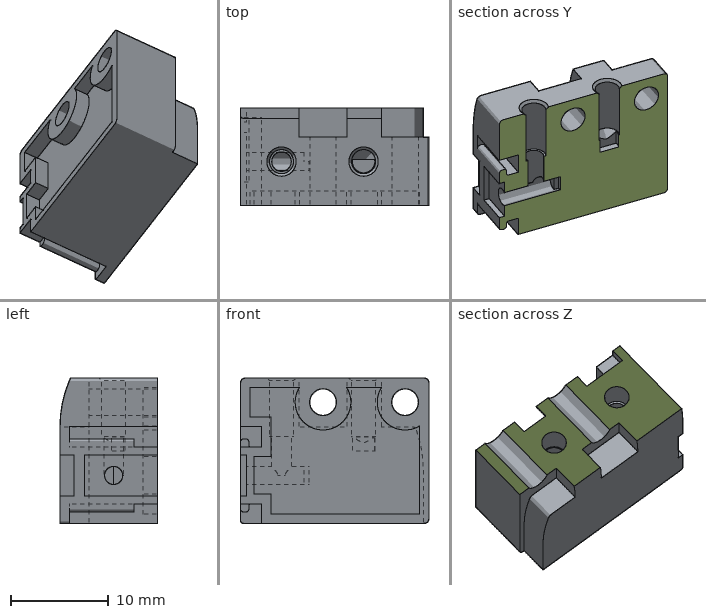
import cadquery as cq
import math

LENGTH = 19.3
DEPTH = 10.0
HEIGHT = 14.9
CORNER_RADIUS = 0.5
FOOT_RADIUS = 0.3

SWEEP_RADIUS = 12.0
SWEEP_HEIGHT = 5.0

CONNECTOR_Z = 4.92
SLOT_X = 2.17
SLOT_REAR_Y = 9.0
SLOT_OFFSET = 2.9
UPPER_SLOT_WIDTH = 2.1
RIDGE_WIDTH = 0.87
RIDGE_HEIGHT = 0.85
RIDGE_RADIUS = 0.35
RIDGE_BASE_RADIUS = 0.2
RIDGE_FRONT_Y = 2.4
RECESS_DEPTH = 0.6
RECESS_HEIGHT = 4.2
RECESS_FRONT_END_Y = 7.5
RECESS_REAR_START_Y = 8.54

WALL = 0.97
POCKET_DEPTH = 1.5
POCKET_STEP_X = 3.15
POCKET_STEP_Z = 10.92
POCKET_TONGUE_X = 1.37
POCKET_TONGUE_HEIGHT = 3.84

HOLE_PITCH = 8.4
MOUNT_X = 8.45
MOUNT_Z = 12.42
MOUNT_DIAMETER = 2.7
BOSS_DIAMETER = 5.7
SEAT_Y = 7.0
SEAT_HALF_WIDTH = 2.44
SEAT_Z = HEIGHT - SWEEP_HEIGHT
REAR_RIGHT_X = 18.71
SEAT_EDGE_RADIUS = 0.5
SEAT_EDGE_X = 18.0

PORT_Y = 4.5
PORT_X = 4.2
PORT_DIAMETER = 2.46
PORT_MOUTH_DIAMETER = 3.0
PORT_CHAMFER = (PORT_MOUTH_DIAMETER - PORT_DIAMETER) / 2
PORT_DEPTH = 6.0
CHANNEL_DIAMETER = 2.0
DRILL_POINT_ANGLE = 118.0
HALF_WELL_DIAMETER = 2.3
HALF_WELL_REAR_Y = 4.7
HALF_WELL_DEPTH = 1.5
SIDE_PORT_DIAMETER = 1.85
SIDE_PORT_END_X = 6.5
SIDE_PORT_STEP = 0.5


def box(x0, x1, y0, y1, z0, z1):
    size = (x1 - x0, y1 - y0, z1 - z0)
    return cq.Workplane("XY").box(*size, centered=False).translate((x0, y0, z0))


def cylinder(diameter, start, direction, length):
    return cq.Workplane(cq.Solid.makeCylinder(diameter / 2, length, cq.Vector(*start), cq.Vector(*direction)))


def along_y(outline, y0, y1):
    """Extrude a closed XZ outline from y0 to y1."""
    return outline.extrude(y0 - y1).translate((0, y0, 0))


def sweep_offset(drop):
    """Inset of the large rounding at a height above its tangent point."""
    return SWEEP_RADIUS - math.sqrt(SWEEP_RADIUS**2 - drop**2)


def make_body():
    body = box(0, LENGTH, 0, DEPTH, 0, HEIGHT)
    body = body.edges("|Y and >Z").fillet(CORNER_RADIUS)
    body = body.edges("|Y and <Z and >X").fillet(CORNER_RADIUS)
    body = body.edges("|Y and <Z and <X").fillet(FOOT_RADIUS)
    return body


def rear_sweep_cut():
    inset = sweep_offset(SWEEP_HEIGHT)
    mid_inset = sweep_offset(SWEEP_HEIGHT / 2)
    return (
        cq.Workplane("YZ")
        .moveTo(DEPTH, SEAT_Z)
        .threePointArc((DEPTH - mid_inset, SEAT_Z + SWEEP_HEIGHT / 2), (DEPTH - inset, HEIGHT))
        .lineTo(DEPTH, HEIGHT)
        .close()
        .extrude(LENGTH)
    )


def seat_cuts():
    """Screw head seats behind SEAT_Y, and the stepped-in rear right side."""
    left_seat = box(
        MOUNT_X - SEAT_HALF_WIDTH, MOUNT_X + SEAT_HALF_WIDTH,
        SEAT_Y, DEPTH, SEAT_Z, HEIGHT,
    )
    edge_inset = REAR_RIGHT_X - SEAT_EDGE_X
    edge_angle = math.acos(1 - edge_inset / SWEEP_RADIUS)
    mid_x = REAR_RIGHT_X - SWEEP_RADIUS * (1 - math.cos(edge_angle / 2))
    edge_z = SEAT_Z - SEAT_EDGE_RADIUS * (1 - math.sin(edge_angle))
    tangent_z = edge_z - SWEEP_RADIUS * math.sin(edge_angle)
    mid_z = tangent_z + SWEEP_RADIUS * math.sin(edge_angle / 2)
    round_start_x = SEAT_EDGE_X - SEAT_EDGE_RADIUS * math.cos(edge_angle)
    round_mid_angle = (edge_angle + math.pi / 2) / 2
    round_mid = (
        round_start_x + SEAT_EDGE_RADIUS * math.cos(round_mid_angle),
        SEAT_Z - SEAT_EDGE_RADIUS * (1 - math.sin(round_mid_angle)),
    )
    seat_left_x = MOUNT_X + HOLE_PITCH - SEAT_HALF_WIDTH
    outline = (
        cq.Workplane("XZ")
        .moveTo(seat_left_x, HEIGHT)
        .lineTo(seat_left_x, SEAT_Z)
        .lineTo(round_start_x, SEAT_Z)
        .threePointArc(round_mid, (SEAT_EDGE_X, edge_z))
        .threePointArc((mid_x, mid_z), (REAR_RIGHT_X, tangent_z))
        .lineTo(REAR_RIGHT_X, 0)
        .lineTo(LENGTH, 0)
        .lineTo(LENGTH, HEIGHT)
        .close()
    )
    return left_seat.union(along_y(outline, SEAT_Y, DEPTH))


def pocket_cut():
    tongue_low = CONNECTOR_Z - POCKET_TONGUE_HEIGHT / 2
    tongue_high = CONNECTOR_Z + POCKET_TONGUE_HEIGHT / 2
    right = LENGTH - WALL
    pocket = box(POCKET_STEP_X, right, 0, POCKET_DEPTH, WALL, HEIGHT - WALL)
    pocket = pocket.union(box(WALL, right, 0, POCKET_DEPTH, POCKET_STEP_Z, HEIGHT - WALL))
    pocket = pocket.union(box(POCKET_TONGUE_X, right, 0, POCKET_DEPTH, tongue_low, tongue_high))
    for x in (MOUNT_X, MOUNT_X + HOLE_PITCH):
        pocket = pocket.cut(cylinder(BOSS_DIAMETER, (x, 0, MOUNT_Z), (0, 1, 0), POCKET_DEPTH))
    return pocket


def mount_hole_cuts():
    left = cylinder(MOUNT_DIAMETER, (MOUNT_X, 0, MOUNT_Z), (0, 1, 0), DEPTH)
    return left.union(left.translate((HOLE_PITCH, 0, 0)))


def slot_cuts():
    upper_z = CONNECTOR_Z + SLOT_OFFSET
    upper = box(0, SLOT_X, 0, SLOT_REAR_Y, upper_z, upper_z + UPPER_SLOT_WIDTH)
    lower = box(0, SLOT_X, 0, SLOT_REAR_Y, 0, CONNECTOR_Z - SLOT_OFFSET)
    return upper.union(lower)


def ridges():
    """Rounded ridge on the upper slot floor and its mirror image below."""
    base_z = CONNECTOR_Z + SLOT_OFFSET
    ridge = box(0, RIDGE_WIDTH, RIDGE_FRONT_Y, SLOT_REAR_Y, base_z, base_z + RIDGE_HEIGHT)
    ridge = ridge.edges("|Y and >Z").fillet(RIDGE_RADIUS)
    root = RIDGE_WIDTH + RIDGE_BASE_RADIUS
    base = box(RIDGE_WIDTH, root, RIDGE_FRONT_Y, SLOT_REAR_Y, base_z, base_z + RIDGE_BASE_RADIUS)
    hollow_start = (root, RIDGE_FRONT_Y, base_z + RIDGE_BASE_RADIUS)
    base = base.cut(
        cylinder(2 * RIDGE_BASE_RADIUS, hollow_start, (0, 1, 0), SLOT_REAR_Y - RIDGE_FRONT_Y)
    )
    upper = ridge.union(base)
    return upper.union(upper.mirror("XY", (0, 0, CONNECTOR_Z)))


def recess_cuts():
    low = CONNECTOR_Z - RECESS_HEIGHT / 2
    high = CONNECTOR_Z + RECESS_HEIGHT / 2
    front = box(0, RECESS_DEPTH, 0, RECESS_FRONT_END_Y, low, high)
    return front.union(box(0, RECESS_DEPTH, RECESS_REAR_START_Y, DEPTH, low, high))


def port_bore(x):
    """Straight bore with a 45 degree mouth chamfer."""
    bore = cylinder(PORT_DIAMETER, (x, PORT_Y, HEIGHT), (0, 0, -1), PORT_DEPTH)
    mouth = cq.Solid.makeCone(
        PORT_MOUTH_DIAMETER / 2, PORT_DIAMETER / 2, PORT_CHAMFER,
        cq.Vector(x, PORT_Y, HEIGHT), cq.Vector(0, 0, -1),
    )
    return bore.union(cq.Workplane(mouth))


def left_port_cut():
    channel_length = HEIGHT - CONNECTOR_Z
    channel = cylinder(CHANNEL_DIAMETER, (PORT_X, PORT_Y, HEIGHT), (0, 0, -1), channel_length)
    return port_bore(PORT_X).union(channel)


def right_port_cut():
    """Bore with a conical end; its front half drops into a flat well."""
    x = PORT_X + HOLE_PITCH
    end_z = HEIGHT - PORT_DEPTH
    radius = PORT_DIAMETER / 2
    tip_length = radius / math.tan(math.radians(DRILL_POINT_ANGLE / 2))
    tip = cq.Solid.makeCone(radius, 0, tip_length, cq.Vector(x, PORT_Y, end_z), cq.Vector(0, 0, -1))
    well = cylinder(HALF_WELL_DIAMETER, (x, PORT_Y, end_z), (0, 0, -1), HALF_WELL_DEPTH)
    front_half = box(
        x - radius, x + radius, PORT_Y - radius, HALF_WELL_REAR_Y,
        end_z - HALF_WELL_DEPTH, end_z,
    )
    return port_bore(x).union(cq.Workplane(tip)).union(well.intersect(front_half))


def side_port_cut():
    """Blind bore whose flat end is stepped along its vertical diameter."""
    radius = SIDE_PORT_DIAMETER / 2
    deep_x = SIDE_PORT_END_X + SIDE_PORT_STEP
    bore = cylinder(SIDE_PORT_DIAMETER, (0, PORT_Y, CONNECTOR_Z), (1, 0, 0), deep_x)
    rear_half_end = box(
        SIDE_PORT_END_X, deep_x, PORT_Y, PORT_Y + radius,
        CONNECTOR_Z - radius, CONNECTOR_Z + radius,
    )
    return bore.cut(rear_half_end)


result = (
    make_body()
    .cut(rear_sweep_cut())
    .cut(seat_cuts())
    .cut(pocket_cut())
    .cut(mount_hole_cuts())
    .cut(slot_cuts())
    .union(ridges())
    .cut(recess_cuts())
    .cut(left_port_cut())
    .cut(right_port_cut())
    .cut(side_port_cut())
)